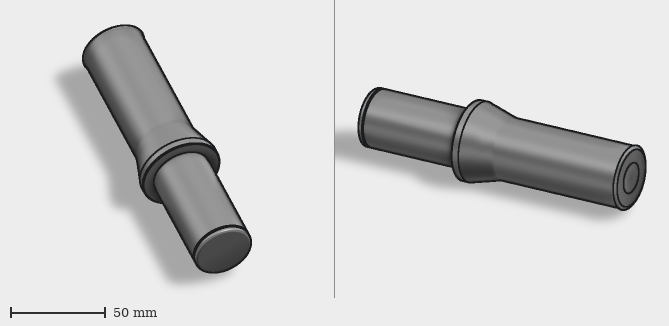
import cadquery as cq
import math

TOTAL_LENGTH = 157.0
LIP_PEAK_X = 1.5
LIP_END_X = 3.0
FLARE_START_X = 74.3
CONE_START_X = 75.8
CONE_END_X = 91.7
COLLAR_RIM_X = 92.6
COLLAR_FACE_X = 97.0

HANDLE_RADIUS = 34.0 / 2
COLLAR_RADIUS = 44.0 / 2
COLLAR_CHAMFER = 0.5
FLARE_STEP = 0.24
RIM_STEP = 0.3
CONE_START_RADIUS = HANDLE_RADIUS + FLARE_STEP
CONE_END_RADIUS = COLLAR_RADIUS - RIM_STEP
LIP_RADIUS = 17.6
LIP_SIDE_X = 1.0
LIP_SIDE_RADIUS = 16.8

DIMPLE_RADIUS = 5.5
VALLEY_RADIUS = 8.3
CREST_RADIUS = 11.3
FACE_EDGE_RADIUS = 15.5
RIPPLE_DEPTH = 0.5
FACE_EDGE_X = 0.3

SPIGOT_RADIUS = 32.0 / 2
NECK_RADIUS = 31.5 / 2
NECK_LENGTH = 1.0
NECK_TAPER = 1.0
GROOVE_START_X = 153.4
GROOVE_WIDTH = 0.8
TIP_FILLET = 1.5


def make_handle():
    """Turned handle with a rippled end face, a raised lip and a flared collar."""
    blend_length = LIP_END_X - LIP_PEAK_X
    lip_height = LIP_RADIUS - HANDLE_RADIUS
    blend_radius = (blend_length**2 + lip_height**2) / (2 * lip_height)
    half_angle = math.asin(blend_length / blend_radius) / 2
    blend_mid_x = LIP_END_X - blend_radius * math.sin(half_angle)
    blend_mid_radius = HANDLE_RADIUS + blend_radius * (1 - math.cos(half_angle))

    profile = (
        cq.Workplane("XY")
        .moveTo(RIPPLE_DEPTH, 0)
        .lineTo(0, DIMPLE_RADIUS)
        .lineTo(RIPPLE_DEPTH, VALLEY_RADIUS)
        .lineTo(0, CREST_RADIUS)
        .lineTo(FACE_EDGE_X, FACE_EDGE_RADIUS)
        .threePointArc((LIP_SIDE_X, LIP_SIDE_RADIUS), (LIP_PEAK_X, LIP_RADIUS))
        .threePointArc((blend_mid_x, blend_mid_radius), (LIP_END_X, HANDLE_RADIUS))
        .lineTo(FLARE_START_X, HANDLE_RADIUS)
        .lineTo(CONE_START_X, CONE_START_RADIUS)
        .lineTo(CONE_END_X, CONE_END_RADIUS)
        .lineTo(COLLAR_RIM_X, COLLAR_RADIUS)
        .lineTo(COLLAR_FACE_X - COLLAR_CHAMFER, COLLAR_RADIUS)
        .lineTo(COLLAR_FACE_X, COLLAR_RADIUS - COLLAR_CHAMFER)
        .lineTo(COLLAR_FACE_X, 0)
        .close()
    )
    return profile.revolve(360, (0, 0, 0), (1, 0, 0))


def make_spigot():
    """Turned spigot with a neck at the collar, a shallow groove and a rounded tip."""
    neck_end_x = COLLAR_FACE_X + NECK_LENGTH
    groove_end_x = GROOVE_START_X + GROOVE_WIDTH
    profile = (
        cq.Workplane("XY")
        .moveTo(COLLAR_FACE_X, 0)
        .lineTo(COLLAR_FACE_X, NECK_RADIUS)
        .lineTo(neck_end_x, NECK_RADIUS)
        .lineTo(neck_end_x + NECK_TAPER, SPIGOT_RADIUS)
        .lineTo(GROOVE_START_X, SPIGOT_RADIUS)
        .lineTo(GROOVE_START_X, NECK_RADIUS)
        .lineTo(groove_end_x, NECK_RADIUS)
        .lineTo(groove_end_x, SPIGOT_RADIUS)
        .lineTo(TOTAL_LENGTH, SPIGOT_RADIUS)
        .lineTo(TOTAL_LENGTH, 0)
        .close()
    )
    spigot = profile.revolve(360, (0, 0, 0), (1, 0, 0))
    return spigot.faces(">X").edges().fillet(TIP_FILLET)


handle = make_handle()
spigot = make_spigot()

result = cq.Compound.makeCompound([handle.val(), spigot.val()])